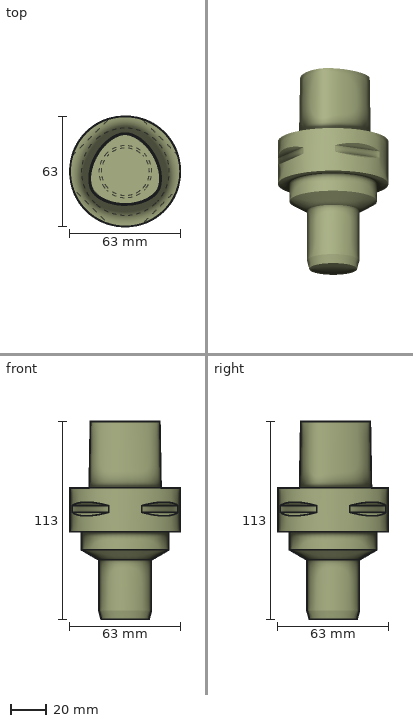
import cadquery as cq
import math

total_height = 113.0
tip_height = 5.0
cone_angle = 30.0
collar_straight_base = 39.8
flange_base = 50.0
flange_top = 75.0

shank_diameter = 30.0
collar_diameter = 50.0
flange_diameter = 63.0
tip_angle = 15.0

polygon_base_diameter = 41.1
polygon_top_diameter = 39.8
lobe_count = 3
lobe_offset = 1.4
profile_points = 48

notch_count = 4
first_notch_angle = 45.0
notch_depth = 3.6
notch_floor_width = 3.7
notch_flank_angle = 30.0
notch_height = 63.0
notch_overshoot = 1.1


def turned_body():
    """Revolve the shank, collar and flange around Z."""
    shank_radius = shank_diameter / 2
    collar_radius = collar_diameter / 2
    flange_radius = flange_diameter / 2
    tip_radius = shank_radius - tip_height * math.tan(math.radians(tip_angle))
    cone_drop = (collar_radius - shank_radius) * math.tan(math.radians(cone_angle))
    outline = [
        (0, 0),
        (tip_radius, 0),
        (shank_radius, tip_height),
        (shank_radius, collar_straight_base - cone_drop),
        (collar_radius, collar_straight_base),
        (collar_radius, flange_base),
        (flange_radius, flange_base),
        (flange_radius, flange_top),
        (0, flange_top),
    ]
    return cq.Workplane("XZ").polyline(outline).close().revolve(360, (0, 0), (0, 1))


def polygon_wire(diameter, height):
    """Constant-width three-lobed curve, with one lobe toward +Y and its start at -Y."""
    points = []
    for i in range(profile_points):
        angle = 2 * math.pi * i / profile_points
        support = diameter / 2 - lobe_offset * math.cos(lobe_count * angle)
        slope = lobe_count * lobe_offset * math.sin(lobe_count * angle)
        along = support * math.cos(angle) - slope * math.sin(angle)
        across = support * math.sin(angle) + slope * math.cos(angle)
        points.append(cq.Vector(across, -along, height))
    return cq.Wire.assembleEdges([cq.Edge.makeSpline(points, periodic=True)])


def polygon_shank():
    base = polygon_wire(polygon_base_diameter, flange_top)
    top = polygon_wire(polygon_top_diameter, total_height)
    return cq.Workplane(obj=cq.Solid.makeLoft([base, top], True))


def notch_cutter(angle):
    """Straight trapezoidal groove across the flange rim, widening outward."""
    floor_distance = flange_diameter / 2 - notch_depth
    cut_depth = notch_depth + notch_overshoot
    half_floor = notch_floor_width / 2
    half_mouth = half_floor + cut_depth * math.tan(math.radians(notch_flank_angle))
    outline = [
        (floor_distance, notch_height - half_floor),
        (floor_distance + cut_depth, notch_height - half_mouth),
        (floor_distance + cut_depth, notch_height + half_mouth),
        (floor_distance, notch_height + half_floor),
    ]
    cutter = cq.Workplane("XZ").polyline(outline).close().extrude(flange_diameter / 2, both=True)
    return cutter.rotate((0, 0, 0), (0, 0, 1), angle)


result = turned_body().union(polygon_shank())
for i in range(notch_count):
    result = result.cut(notch_cutter(first_notch_angle + i * 360 / notch_count))